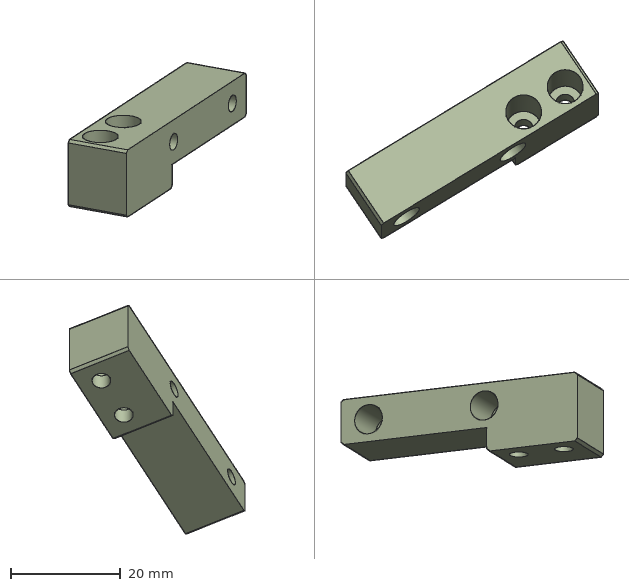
import cadquery as cq

width = 12.0
length = 47.0
height = 13.0
arm_height = 8.5
foot_length = 18.0
edge_chamfer = 0.5

holes_per_row = 2

top_hole_diameter = 3.4
top_bore_diameter = 6.5
top_bore_depth = 9.5
top_hole_x = 4.3
top_hole_front_offset = 4.5
top_hole_pitch = 9.0

side_hole_diameter = 3.1
side_bore_diameter = 5.5
side_bore_depth = 9.5
side_hole_rear_offset = 5.5
side_hole_pitch = 23.0
side_hole_top_offset = 4.3


def make_body():
    """Stepped side profile in the YZ plane, extruded across the width."""
    arm_bottom = height - arm_height
    profile = [
        (0, 0),
        (foot_length, 0),
        (foot_length, arm_bottom),
        (length, arm_bottom),
        (length, height),
        (0, height),
    ]
    body = cq.Workplane("YZ").polyline(profile).close().extrude(width)
    inner_corner = cq.Vector(width / 2, foot_length, arm_bottom)
    outer_corners = body.edges("|X").filter(
        lambda edge: (edge.Center() - inner_corner).Length > edge_chamfer
    )
    return outer_corners.chamfer(edge_chamfer)


def stepped_hole(entry, direction, through, hole_diameter, bore_diameter, bore_depth):
    """Through hole with a counterbore, starting at entry and running along direction."""
    start = cq.Vector(*entry)
    axis = cq.Vector(*direction)
    hole = cq.Solid.makeCylinder(hole_diameter / 2, through, start, axis)
    bore = cq.Solid.makeCylinder(bore_diameter / 2, bore_depth, start, axis)
    return cq.Workplane(hole).union(cq.Workplane(bore))


result = make_body()

for index in range(holes_per_row):
    hole_y = top_hole_front_offset + index * top_hole_pitch
    result = result.cut(stepped_hole(
        (top_hole_x, hole_y, height), (0, 0, -1), height,
        top_hole_diameter, top_bore_diameter, top_bore_depth,
    ))

for index in range(holes_per_row):
    hole_y = length - side_hole_rear_offset - index * side_hole_pitch
    result = result.cut(stepped_hole(
        (0, hole_y, height - side_hole_top_offset), (1, 0, 0), width,
        side_hole_diameter, side_bore_diameter, side_bore_depth,
    ))